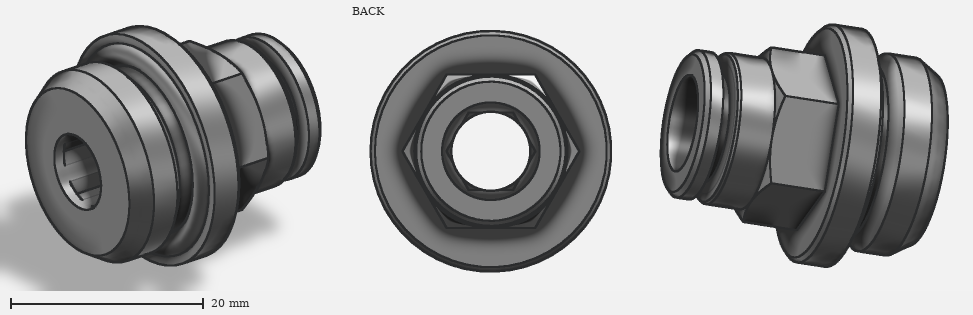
import cadquery as cq
import math

LENGTH = 26.0

thread_d = 20.8
thread_tip_d = 18.1
thread_tip_length = 2.18
thread_end_y = 5.2
neck_d = 18.1
neck_start_y = 6.5

seal_center_d = 20.6
seal_start_y = 7.57
seal_section_d = 2.52
flange_d = 25.0
flange_start_y = 8.45
flange_end_y = 11.99
flange_chamfer = 0.47

hex_flats = 15.9
hex_end_y = 18.55
hex_chamfer_angle = 30.0
sleeve_end_y = 22.55
sleeve_chamfer = 0.2
sleeve_chamfer_length = 0.3

lip_base_d = 13.78
lip_height = 0.2
groove_d = 11.4
collar_d = 15.5
collar_start_y = 24.13
collar_chamfer = 0.52
flare_size = 0.2

bore_d = 8.2
socket_flats = 8.0
socket_start_y = 1.25
tube_bore_d = 10.15
tube_bore_start_y = flange_end_y


def hex_corners(flats):
    """Distance across the corners of a hexagon."""
    return flats / math.cos(math.radians(30))


def disc(diameter, start_y, end_y):
    """Cylinder on the Y axis."""
    return cq.Workplane("XZ", origin=(0, end_y, 0)).circle(diameter / 2).extrude(end_y - start_y)


def hex_bar(flats, start_y, end_y):
    """Hexagonal bar on the Y axis, with two corners on the X axis."""
    plane = cq.Workplane("XZ", origin=(0, end_y, 0))
    return plane.polygon(6, hex_corners(flats)).extrude(end_y - start_y)


def revolve_profile(profile):
    """Close a half profile and turn it about the Y axis."""
    return profile.close().revolve(360, (0, 0, 0), (0, 1, 0))


def threaded_end():
    """Plain thread envelope with a tapered tip, then the undercut neck."""
    profile = (
        cq.Workplane("XY")
        .lineTo(thread_tip_d / 2, 0)
        .lineTo(thread_d / 2, thread_tip_length)
        .lineTo(thread_d / 2, thread_end_y)
        .lineTo(neck_d / 2, neck_start_y)
        .lineTo(neck_d / 2, flange_start_y)
        .lineTo(0, flange_start_y)
    )
    return revolve_profile(profile)


def seal_ring():
    """O-ring seated on the neck and partly sunk into the flange."""
    section_r = seal_section_d / 2
    section = cq.Workplane("XY").center(seal_center_d / 2, seal_start_y + section_r).circle(section_r)
    return section.revolve(360, (-seal_center_d / 2, 0, 0), (-seal_center_d / 2, 1, 0))


def flange():
    """Wide flange, chamfered on the hexagon side."""
    return disc(flange_d, flange_start_y, flange_end_y).faces(">Y").chamfer(flange_chamfer)


def hexagon():
    """Hexagon whose corners are turned down to the sleeve by a cone."""
    corner_r = hex_corners(hex_flats) / 2
    cone_length = (corner_r - hex_flats / 2) * math.tan(math.radians(hex_chamfer_angle))
    profile = (
        cq.Workplane("XY")
        .moveTo(0, flange_end_y)
        .lineTo(corner_r, flange_end_y)
        .lineTo(corner_r, hex_end_y - cone_length)
        .lineTo(hex_flats / 2, hex_end_y)
        .lineTo(0, hex_end_y)
    )
    return hex_bar(hex_flats, flange_end_y, hex_end_y).intersect(revolve_profile(profile))


def sleeve():
    """Cylinder above the hexagon, ending in a low conical lip."""
    profile = (
        cq.Workplane("XY")
        .moveTo(0, hex_end_y)
        .lineTo(hex_flats / 2, hex_end_y)
        .lineTo(hex_flats / 2, sleeve_end_y - sleeve_chamfer_length)
        .lineTo(hex_flats / 2 - sleeve_chamfer, sleeve_end_y)
        .lineTo(lip_base_d / 2, sleeve_end_y)
        .lineTo(groove_d / 2, sleeve_end_y + lip_height)
        .lineTo(0, sleeve_end_y + lip_height)
    )
    return revolve_profile(profile)


def collar():
    """Release collar, with a stem that flares out under the head."""
    profile = (
        cq.Workplane("XY")
        .moveTo(0, sleeve_end_y)
        .lineTo(groove_d / 2, sleeve_end_y)
        .lineTo(groove_d / 2, collar_start_y - flare_size)
        .lineTo(groove_d / 2 + flare_size, collar_start_y)
        .lineTo(collar_d / 2, collar_start_y)
        .lineTo(collar_d / 2, LENGTH - collar_chamfer)
        .lineTo(collar_d / 2 - collar_chamfer, LENGTH)
        .lineTo(0, LENGTH)
    )
    return revolve_profile(profile)


body = threaded_end()
for section in (seal_ring(), flange(), hexagon(), sleeve(), collar()):
    body = body.union(section)

result = (
    body.cut(disc(bore_d, 0, LENGTH))
    .cut(hex_bar(socket_flats, socket_start_y, tube_bore_start_y))
    .cut(disc(tube_bore_d, tube_bore_start_y, LENGTH))
)